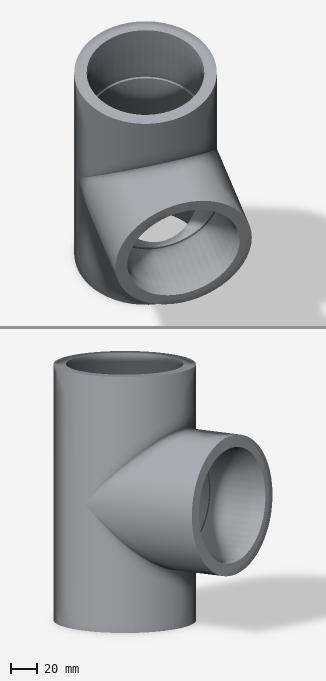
import cadquery as cq

run_length = 199.0
outer_diameter = 109.0
socket_diameter = 90.0
bore_diameter = 86.4
socket_depth = 51.0

reach = run_length / 2
shoulder = reach - socket_depth


def run_cylinder(diameter):
    return cq.Workplane("XY").circle(diameter / 2).extrude(reach, both=True)


def branch_cylinder(diameter):
    return cq.Workplane("YZ").circle(diameter / 2).extrude(reach)


def socket(plane, direction):
    """Pipe socket from the shoulder to an open end."""
    return (
        cq.Workplane(plane)
        .workplane(offset=direction * shoulder)
        .circle(socket_diameter / 2)
        .extrude(direction * socket_depth)
    )


body = run_cylinder(outer_diameter).union(branch_cylinder(outer_diameter))

bores = run_cylinder(bore_diameter).union(branch_cylinder(bore_diameter))
result = body.cut(bores)

for plane, direction in (("XY", 1), ("XY", -1), ("YZ", 1)):
    result = result.cut(socket(plane, direction))